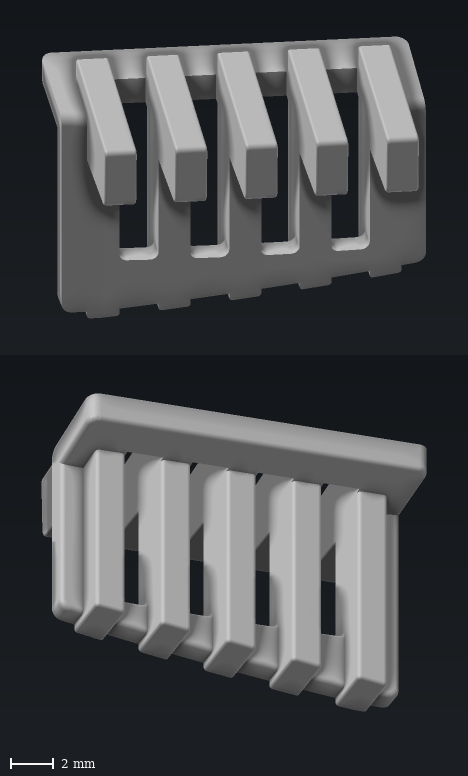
import cadquery as cq
import math

TURN = 46.0
TILT = 10.8
FALL_X = math.tan(math.radians(TILT))
ROW_FALL = FALL_X * math.cos(math.radians(TURN))
DEPTH_RISE = FALL_X * math.sin(math.radians(TURN))
REACH = 25.66

COUNT = 5
PITCH = 3.39
FINGER_W = 1.54
FINGER_BACK = 1.47
FINGER_TIP = -4.64
TIP_LEAN = 0.14
FINGER_TOP = 12.83
FINGER_ROOT_Z = 8.6
FINGER_TIP_Z = 8.7
TIP_TOP_R = 0.25
TIP_BOTTOM_R = 0.48
FINGER_EDGE_R = 0.12
RIB_BACK_R = 0.2
RIB_FOOT_R = 0.17

FLANGE_BACK = 3.47
FLANGE_HALF_BACK = 8.81
FLANGE_TOP = 11.3
FLANGE_T = 1.49
FLANGE_MIDDLE = FLANGE_TOP - FLANGE_T / 2
FLANGE_CORNER_R = 0.55
UNDER_EDGE_R = 0.24

PLATE_HALF = 8.73
PLATE_FRONT = -1.11
PLATE_FRONT_END = -0.87
BEND_U = -6.83
BENT_END_V = -0.7
PLATE_T = 1.01
PLATE_Z = 0.43
PLATE_TOP_R = 0.53
PLATE_FOOT_R = 0.5

SLOT_W = PITCH - FINGER_W
SLOT_BACK = 1.6
SLOT_FLOOR = 2.58
SLOT_R = 0.38
SLOT_EDGE_R = 0.15

NEAR = 0.09

ARC_SAG = PLATE_FRONT_END - PLATE_FRONT
ARC_R = (PLATE_HALF**2 + ARC_SAG**2) / (2 * ARC_SAG)


def arc_v(u):
    """V of the plate's front arc at a place along the row."""
    return PLATE_FRONT + ARC_R - math.sqrt(ARC_R**2 - u**2)


def row_extrude(profile, u_start, length):
    """Sweep a closed (V, Z) outline along the row, sinking with the row's fall.

    The heights in the outline are those it would have at U = 0.
    """
    points = [cq.Vector(u_start, v, z - ROW_FALL * u_start) for v, z in profile]
    wire = cq.Wire.makePolygon(points, close=True)
    step = cq.Vector(length, 0, -ROW_FALL * length)
    return cq.Workplane(cq.Solid.extrudeLinear(wire, [], step))


def layer_below(height):
    """Everything below a plane parallel to the top faces, at a height over the origin."""
    rise = REACH * DEPTH_RISE
    outline = [(-REACH, -REACH), (REACH, -REACH), (REACH, height + rise), (-REACH, height - rise)]
    return row_extrude(outline, -REACH, 2 * REACH)


def front_outline(start, offset, end_u):
    """Continue a plan outline along the plate's bent and arced front, moved back by an offset."""
    bend = (BEND_U, arc_v(BEND_U) + offset)
    middle = (0, PLATE_FRONT + offset)
    end = (end_u, arc_v(end_u) + offset)
    return start.lineTo(*bend).threePointArc(middle, end)


def body_plan():
    """Full-height column with the flange's rounded outline and the plate's front."""
    start = cq.Workplane("XY").moveTo(-FLANGE_HALF_BACK, FLANGE_BACK).lineTo(-PLATE_HALF, BENT_END_V)
    outline = front_outline(start, 0, PLATE_HALF).lineTo(FLANGE_HALF_BACK, FLANGE_BACK)
    return outline.close().extrude(REACH).edges("|Z and >Y").fillet(FLANGE_CORNER_R)


def space_behind_plate():
    """Column behind the plate's rear face, reaching past the flange all round."""
    bend_slope = (arc_v(BEND_U) - BENT_END_V) / (BEND_U + PLATE_HALF)
    rear_left_v = BENT_END_V + PLATE_T + bend_slope * (PLATE_HALF - REACH)
    start = cq.Workplane("XY").moveTo(-REACH, REACH).lineTo(-REACH, rear_left_v)
    outline = front_outline(start, PLATE_T, REACH).lineTo(REACH, REACH)
    return outline.close().extrude(REACH)


def edges_where(solid, test):
    """Edges of a solid whose midpoint passes a test."""
    return solid.newObject([edge for edge in solid.edges().vals() if test(edge.positionAt(0.5))])


def row_height(point):
    """Height of a point with the row's fall taken out."""
    return point.z + ROW_FALL * point.x


def below_top(point):
    """Depth of a point under the flange's top plane."""
    return FLANGE_TOP + DEPTH_RISE * point.y - row_height(point)


def is_front_top(point):
    """Front edge of the top face, over the bent and the arced stretch."""
    return point.y < 0 and abs(point.x) < FLANGE_HALF_BACK - FLANGE_CORNER_R and abs(below_top(point)) < NEAR


def is_foot_end(point):
    """Lower edges of the plate's two ends."""
    return abs(point.x) > PLATE_HALF - NEAR and abs(point.z - PLATE_Z) < NEAR


def is_under_rim(point):
    """Outer rim of the flange's underside, and the plate's rear edges at both ends."""
    on_end = abs(point.x) > FLANGE_HALF_BACK - FLANGE_CORNER_R and point.y > 0
    on_back = point.y > FLANGE_BACK - NEAR
    depth = below_top(point)
    on_underside = abs(depth - FLANGE_T) < NEAR
    on_plate = depth > FLANGE_T + NEAR
    return (on_underside and (on_end or on_back)) or (on_plate and on_end)


def make_body():
    """Flange and plate, before the slots."""
    under_flange = layer_below(FLANGE_TOP - FLANGE_T)
    foot = cq.Workplane("XY").box(2 * REACH, 2 * REACH, PLATE_Z, centered=(True, True, False))
    body = body_plan().intersect(layer_below(FLANGE_TOP))
    body = body.cut(space_behind_plate().intersect(under_flange)).cut(foot)
    body = edges_where(body, is_front_top).fillet(PLATE_TOP_R)
    body = edges_where(body, is_foot_end).fillet(PLATE_FOOT_R)
    return edges_where(body, is_under_rim).fillet(UNDER_EDGE_R)


def make_slot(left):
    """Cutter for one slot, open at the top, with a round-cornered sloping floor."""
    drop = -ROW_FALL * SLOT_W
    floor_z = SLOT_FLOOR - ROW_FALL * left
    outline = cq.Workplane("XZ", origin=(left, SLOT_BACK, floor_z)).polyline(
        [(0, 0), (SLOT_W, drop), (SLOT_W, REACH), (0, REACH)]
    )

    def is_floor_corner(point):
        """Edges running from front to back at the floor's two sides."""
        on_side = min(abs(point.x - left), abs(point.x - left - SLOT_W)) < NEAR
        return on_side and abs(point.z - floor_z) < abs(drop) + NEAR and point.y < 0

    slot = outline.close().extrude(REACH)
    return edges_where(slot, is_floor_corner).fillet(SLOT_R)


def is_slot_rear_edge(point):
    """Floor and floor-corner edges of the slots on the plate's rear face."""
    on_rear = abs(point.y - arc_v(point.x) - PLATE_T) < NEAR
    return on_rear and abs(row_height(point) - SLOT_FLOOR) < SLOT_R and abs(point.x) < abs(BEND_U)


def make_finger(left):
    """Overhanging finger with a leaning tip; its rear foot is buried in the flange."""
    tip_top = FINGER_TOP + DEPTH_RISE * FINGER_TIP
    back_top = FINGER_TOP + DEPTH_RISE * FINGER_BACK
    tip_foot = FINGER_TIP + TIP_LEAN
    outline = [
        (FINGER_BACK, back_top),
        (FINGER_TIP, tip_top),
        (tip_foot, FINGER_TIP_Z),
        (0, FINGER_ROOT_Z),
        (0, FLANGE_MIDDLE),
        (FINGER_BACK, FLANGE_MIDDLE),
    ]
    finger = row_extrude(outline, left, FINGER_W)
    middle = left + FINGER_W / 2

    def is_tip_top(point):
        return abs(point.x - middle) < NEAR and point.y < FINGER_TIP + NEAR

    def is_tip_bottom(point):
        return abs(point.x - middle) < NEAR and abs(point.y - tip_foot) < NEAR

    def is_outer(point):
        """Every edge except those of the buried foot."""
        return point.y < -NEAR or row_height(point) > FLANGE_MIDDLE + NEAR

    finger = edges_where(finger, is_tip_bottom).fillet(TIP_BOTTOM_R)
    finger = edges_where(finger, is_tip_top).fillet(TIP_TOP_R)
    return edges_where(finger, is_outer).fillet(FINGER_EDGE_R)


def make_rib(left):
    """Upright rib from the foot of the part up into the flange, flush with the plate's front."""
    rib = cq.Workplane("XY").box(FINGER_W, 2 * FINGER_BACK, REACH, centered=(False, True, False))
    rib = rib.edges("|Z and >Y").fillet(RIB_BACK_R)
    rib = rib.faces("<Z").edges("not <Y").fillet(RIB_FOOT_R)
    rib = rib.translate((left, 0, 0))
    return rib.intersect(body_plan()).intersect(layer_below(FLANGE_MIDDLE))


lefts = [PITCH * (index - (COUNT - 1) / 2) - FINGER_W / 2 for index in range(COUNT)]

part = make_body()
for left in lefts[:-1]:
    part = part.cut(make_slot(left + FINGER_W))
part = edges_where(part, is_slot_rear_edge).fillet(SLOT_EDGE_R)
for left in lefts:
    part = part.union(make_rib(left)).union(make_finger(left))

result = part.rotate((0, 0, 0), (0, 0, 1), TURN)